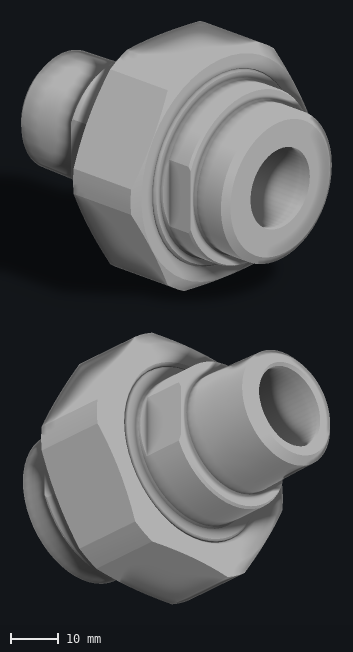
import cadquery as cq
import math

total_length = 64.5
spigot_end = 18.0
collar_end = 29.1
nut_start = 29.5
nut_end = 48.05
flange_start = 29.7
shoulder_start = 32.25
joint = 34.8
thread_end = 48.7
rear_collar_start = 49.5
rear_collar_end = 55.7

bore_radius = 18.0 / 2
bore_chamfer = 0.65
shoulder_radius = 43.0 / 2
flat_end_slope = 0.25
flare_length = 0.65

spigot_tip_radius = 11.3
spigot_front_radius = 12.95
spigot_back_radius = 13.5
spigot_root_radius = 13.85
spigot_chamfer_length = 1.7
spigot_root_length = 0.25
collar_radius = 33.0 / 2
collar_chamfer_length = 0.6
collar_chamfer_depth = 0.45
collar_flare_radius = 33.7 / 2
collar_flat_half_width = 14.95
collar_flat_end = 28.2
flange_radius = 39.0 / 2
flange_chamfer = 0.4

across_flats = 50.0
corner_radius = 54.7 / 2
front_face_radius = 24.7
rear_face_radius = 24.9
front_bevel_length = 1.0
rear_bevel_length = 0.85
lip_bore_radius = 39.5 / 2
lip_chamfer = 0.65
nut_bore_radius = 43.35 / 2

rim_chamfer_length = 0.6
rim_end_radius = 21.1
rear_collar_radius = 39.0 / 2
rear_collar_flare_radius = 19.85
rear_collar_chamfer_length = 0.65
rear_collar_chamfer_depth = 0.3
rear_flat_half_width = 18.0
rear_flat_start = 49.6
socket_radius = 33.7 / 2
socket_flare_radius = 17.15
socket_end_radius = 15.1
socket_chamfer_length = 1.1


def revolve_profile(points):
    """Revolve a closed (x, radius) outline about the X axis."""
    return cq.Workplane("XY").polyline(points).close().revolve(360, (0, 0, 0), (1, 0, 0))


def cut_wrench_flats(body, half_width, outline_points):
    """Cut two opposite flats; outline_points are (x, height above the flat)."""
    for side in (1, -1):
        outline = [(x, side * (half_width + height)) for x, height in outline_points]
        body = body.cut(cq.Workplane("XY").polyline(outline).close().extrude(corner_radius, both=True))
    return body


def make_tailpiece():
    """Tapered spigot, collar with wrench flats, and the flange held by the nut."""
    body = revolve_profile([
        (0, bore_radius + bore_chamfer),
        (0, spigot_tip_radius),
        (spigot_chamfer_length, spigot_front_radius),
        (spigot_end - spigot_root_length, spigot_back_radius),
        (spigot_end, spigot_root_radius),
        (spigot_end, collar_radius - collar_chamfer_depth),
        (spigot_end + collar_chamfer_length, collar_radius),
        (collar_end, collar_radius),
        (flange_start, collar_flare_radius),
        (flange_start, flange_radius - flange_chamfer),
        (flange_start + flange_chamfer, flange_radius),
        (shoulder_start, flange_radius),
        (shoulder_start, shoulder_radius),
        (joint, shoulder_radius),
        (joint, bore_radius),
        (bore_chamfer, bore_radius),
    ])
    cut_height = 2 * (collar_radius - collar_flat_half_width)
    flat_outline = [
        (spigot_end, 0),
        (collar_flat_end, 0),
        (collar_flat_end + cut_height * flat_end_slope, cut_height),
        (spigot_end, cut_height),
    ]
    return cut_wrench_flats(body, collar_flat_half_width, flat_outline)


def make_nut():
    """Hexagonal union nut with turned corners, bevelled ends and a front lip."""
    hexagon = (
        cq.Workplane("YZ", origin=(nut_start, 0, 0))
        .polygon(6, across_flats / math.cos(math.pi / 6))
        .extrude(nut_end - nut_start)
    )
    turned_ring = revolve_profile([
        (nut_start, lip_bore_radius + lip_chamfer),
        (nut_start, front_face_radius),
        (nut_start + front_bevel_length, corner_radius),
        (nut_end - rear_bevel_length, corner_radius),
        (nut_end, rear_face_radius),
        (nut_end, nut_bore_radius),
        (shoulder_start, nut_bore_radius),
        (shoulder_start, lip_bore_radius),
        (nut_start + lip_chamfer, lip_bore_radius),
    ])
    return hexagon.intersect(turned_ring)


def make_socket_piece():
    """Threaded rim inside the nut, rear collar with wrench flats, and the socket end."""
    body = revolve_profile([
        (joint, bore_radius),
        (joint, shoulder_radius),
        (thread_end - rim_chamfer_length, shoulder_radius),
        (thread_end, rim_end_radius),
        (thread_end, rear_collar_flare_radius),
        (rear_collar_start, rear_collar_radius),
        (rear_collar_end - rear_collar_chamfer_length, rear_collar_radius),
        (rear_collar_end, rear_collar_radius - rear_collar_chamfer_depth),
        (rear_collar_end, socket_flare_radius),
        (rear_collar_end + flare_length, socket_radius),
        (total_length - socket_chamfer_length, socket_radius),
        (total_length, socket_end_radius),
        (total_length, bore_radius),
    ])
    cut_height = 2 * (rear_collar_radius - rear_flat_half_width)
    flat_outline = [
        (rear_flat_start, 0),
        (rear_collar_end, 0),
        (rear_collar_end, cut_height),
        (rear_flat_start - cut_height * flat_end_slope, cut_height),
    ]
    return cut_wrench_flats(body, rear_flat_half_width, flat_outline)


tailpiece = make_tailpiece()
nut = make_nut()
socket_piece = make_socket_piece()

result = cq.Compound.makeCompound([tailpiece.val(), nut.val(), socket_piece.val()])